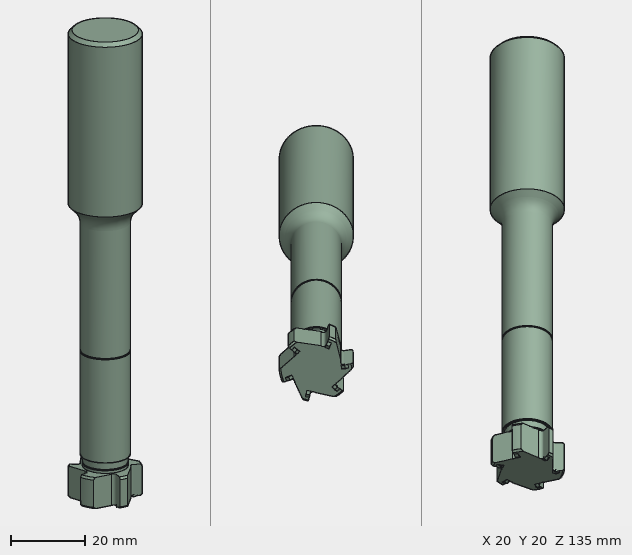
import cadquery as cq
import math

TOTAL_LENGTH = 135.0
SHANK_RADIUS = 20.0 / 2
STEM_RADIUS = 13.6 / 2

SHANK_CHAMFER = 1.1
JOINT_Z = 42.7
JOINT_CHAMFER = 0.2
BLEND_BOTTOM_Z = 79.5
BLEND_RADIUS = 5.4
SHOULDER_SLOPE = math.radians(45)

NECK_RADIUS = 12.4 / 2
STEM_END_Z = 12.5
STEM_END_CHAMFER = 0.2
HEAD_SEAT_Z = 10.4
SEAT_CHAMFER = 0.2

HEAD_RADIUS = 20.0 / 2
HEAD_TOP_Z = 9.5
HEAD_BOTTOM_Z = 0.4
TOP_CHAMFER_WIDTH = 0.4
TOP_CHAMFER_HEIGHT = 0.7
BOTTOM_CHAMFER = 0.5
TEETH = [(68, 79), (128, 135), (180, 194.5), (240, 248), (293, 316), (358, 371)]
FACE_ROOT_RADIUS = 7.7
GULLET_RADIUS = 6.9
BACK_END_RADIUS = 7.0
BACK_END_LEAD = 10.0
GULLET_LEAD = 4.0
RIDGE_CENTRE_RADIUS = 7.7
RIDGE_WIDTH = 1.9
RIDGE_THICKNESS = 1.1


def polar(radius, degrees):
    angle = math.radians(degrees)
    return radius * math.cos(angle), radius * math.sin(angle)


def make_shank():
    slope_radius = STEM_RADIUS + BLEND_RADIUS * (1 - math.cos(SHOULDER_SLOPE))
    slope_z = BLEND_BOTTOM_Z + BLEND_RADIUS * math.sin(SHOULDER_SLOPE)
    shoulder_z = slope_z + (SHANK_RADIUS - slope_radius) / math.tan(SHOULDER_SLOPE)
    half_slope = SHOULDER_SLOPE / 2
    blend_middle = (
        STEM_RADIUS + BLEND_RADIUS * (1 - math.cos(half_slope)),
        BLEND_BOTTOM_Z + BLEND_RADIUS * math.sin(half_slope),
    )
    return (
        cq.Workplane("XZ")
        .moveTo(0, JOINT_Z)
        .lineTo(STEM_RADIUS - JOINT_CHAMFER, JOINT_Z)
        .lineTo(STEM_RADIUS, JOINT_Z + JOINT_CHAMFER)
        .lineTo(STEM_RADIUS, BLEND_BOTTOM_Z)
        .threePointArc(blend_middle, (slope_radius, slope_z))
        .lineTo(SHANK_RADIUS, shoulder_z)
        .lineTo(SHANK_RADIUS, TOTAL_LENGTH - SHANK_CHAMFER)
        .lineTo(SHANK_RADIUS - SHANK_CHAMFER, TOTAL_LENGTH)
        .lineTo(0, TOTAL_LENGTH)
        .close()
        .revolve(360, (0, 0), (0, 1))
    )


def make_stem():
    return (
        cq.Workplane("XZ")
        .moveTo(0, HEAD_SEAT_Z)
        .lineTo(NECK_RADIUS - SEAT_CHAMFER, HEAD_SEAT_Z)
        .lineTo(NECK_RADIUS, HEAD_SEAT_Z + SEAT_CHAMFER)
        .lineTo(NECK_RADIUS, STEM_END_Z)
        .lineTo(STEM_RADIUS - STEM_END_CHAMFER, STEM_END_Z)
        .lineTo(STEM_RADIUS, STEM_END_Z + STEM_END_CHAMFER)
        .lineTo(STEM_RADIUS, JOINT_Z - JOINT_CHAMFER)
        .lineTo(STEM_RADIUS - JOINT_CHAMFER, JOINT_Z)
        .lineTo(0, JOINT_Z)
        .close()
        .revolve(360, (0, 0), (0, 1))
    )


def make_tooth_ring():
    """Extrude the toothed outline: cutting face, land, flat back and gullet for each tooth."""
    outline = cq.Workplane("XY").workplane(offset=HEAD_BOTTOM_Z)
    outline = outline.moveTo(*polar(FACE_ROOT_RADIUS, TEETH[0][0]))
    next_faces = [face for face, _ in TEETH[1:]] + [TEETH[0][0] + 360]
    for (face, land_end), next_face in zip(TEETH, next_faces):
        land_middle = (face + land_end) / 2
        outline = (
            outline.lineTo(*polar(HEAD_RADIUS, face))
            .threePointArc(polar(HEAD_RADIUS, land_middle), polar(HEAD_RADIUS, land_end))
            .lineTo(*polar(BACK_END_RADIUS, next_face - BACK_END_LEAD))
            .threePointArc(
                polar(GULLET_RADIUS, next_face - GULLET_LEAD),
                polar(FACE_ROOT_RADIUS, next_face),
            )
        )
    return outline.close().extrude(HEAD_TOP_Z - HEAD_BOTTOM_Z)


def make_head_envelope():
    """Turned blank that gives the teeth their chamfered outer corners."""
    return (
        cq.Workplane("XZ")
        .moveTo(0, HEAD_BOTTOM_Z)
        .lineTo(HEAD_RADIUS - BOTTOM_CHAMFER, HEAD_BOTTOM_Z)
        .lineTo(HEAD_RADIUS, HEAD_BOTTOM_Z + BOTTOM_CHAMFER)
        .lineTo(HEAD_RADIUS, HEAD_TOP_Z - TOP_CHAMFER_HEIGHT)
        .lineTo(HEAD_RADIUS - TOP_CHAMFER_WIDTH, HEAD_TOP_Z)
        .lineTo(0, HEAD_TOP_Z)
        .close()
        .revolve(360, (0, 0), (0, 1))
    )


def make_ridge(face_angle):
    """Triangular ridge that starts at the cutting face and runs back under the tooth."""
    half_width = RIDGE_WIDTH / 2
    return (
        cq.Workplane("XZ")
        .moveTo(RIDGE_CENTRE_RADIUS - half_width, HEAD_BOTTOM_Z)
        .lineTo(RIDGE_CENTRE_RADIUS, 0)
        .lineTo(RIDGE_CENTRE_RADIUS + half_width, HEAD_BOTTOM_Z)
        .lineTo(RIDGE_CENTRE_RADIUS, 2 * HEAD_BOTTOM_Z)
        .close()
        .extrude(-RIDGE_THICKNESS)
        .rotate((0, 0, 0), (0, 0, 1), face_angle)
    )


def make_head():
    head = make_tooth_ring().intersect(make_head_envelope())
    collar = (
        cq.Workplane("XY")
        .workplane(offset=HEAD_TOP_Z)
        .circle(NECK_RADIUS)
        .extrude(HEAD_SEAT_Z - HEAD_TOP_Z)
        .faces(">Z")
        .chamfer(SEAT_CHAMFER)
    )
    head = head.union(collar)
    for face, _ in TEETH:
        head = head.union(make_ridge(face))
    return head


shank = make_shank()
stem = make_stem()
head = make_head()

result = cq.Compound.makeCompound([shank.val(), stem.val(), head.solids().val()])